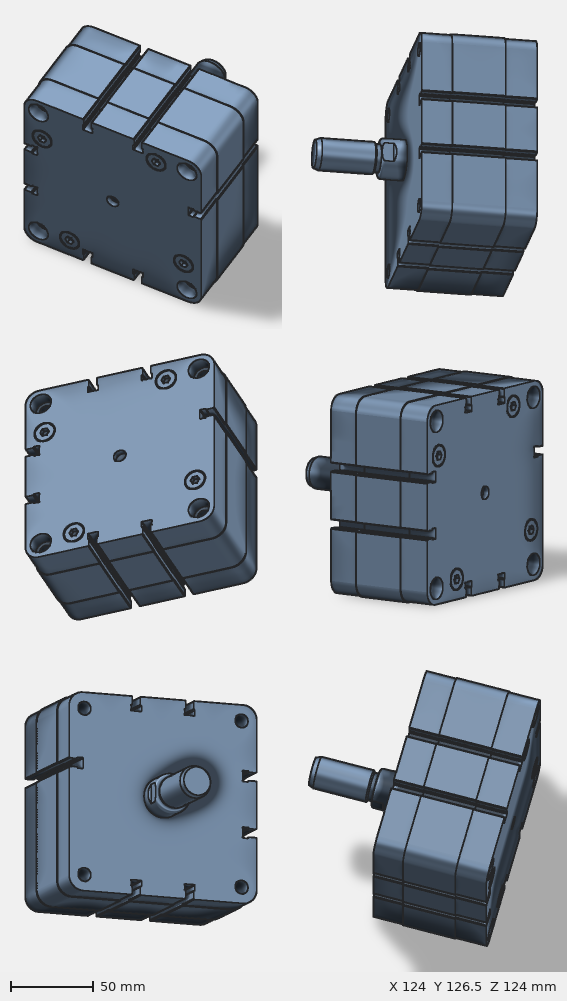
import cadquery as cq
import math


barrel_width = 124.0
cap_setback = 0.5
corner_radius = 9.5
base_cap_length = 19.5
barrel_length = 33.0
rod_cap_length = 18.75
housing_length = base_cap_length + barrel_length + rod_cap_length

slot_offset = 17.5
slot_mouth_width = 5.2
slot_inner_width = 6.8
slot_depth = 9.2
slot_neck_depth = 5.0
slot_shoulder_drop = 0.8
slot_lip = 0.5
slot_floor_chamfer = 0.4

mount_offset = 51.5
mount_bore_diameter = 8.38
mount_counterbore_diameter = 13.5
mount_counterbore_depth = 9.0

screw_x = 30.0
screw_z = 49.0
screw_recess_diameter = 13.5
screw_head_diameter = 12.5
screw_gap_depth = 1.0
socket_across_flats = 5.0
socket_depth = 3.0

centre_hole_diameter = 8.0
centre_hole_depth = 4.0

rod_diameter = 25.0
rod_length = 15.25
rod_end_radius = 2.0
flat_across = 22.0
flat_length = 7.2
undercut_diameter = 17.5
undercut_end = 18.05
thread_diameter = 20.0
thread_lead_in = 1.0
thread_tip_chamfer = 3.2
thread_tip_diameter = 17.5
rod_reach = 55.25


def plane_at(y):
    """XZ plane at Y = y; local x is X, local y is Z, negative extrusions run to +Y."""
    return cq.Workplane("XZ", origin=(0, y, 0))


def slot_cutter(half_width, side_angle, offset, start, length):
    """Slot in the +Z side at X = offset, turned about Y onto the side wanted."""
    mouth = slot_mouth_width / 2
    inner = slot_inner_width / 2
    shoulder = half_width - slot_neck_depth
    floor = half_width - slot_depth
    right_half = [
        (mouth + slot_lip, half_width),
        (mouth, half_width - slot_lip),
        (mouth, shoulder),
        (inner, shoulder - slot_shoulder_drop),
        (inner, floor + slot_floor_chamfer),
        (inner - slot_floor_chamfer, floor),
    ]
    left_half = [(-x, z) for x, z in reversed(right_half)]
    outline = [(offset + x, z) for x, z in right_half + left_half]
    cutter = plane_at(start).polyline(outline).close().extrude(-length)
    return cutter.rotate((0, 0, 0), (0, 1, 0), side_angle)


def housing_section(start, length, setback):
    """One slotted length of the housing, its sides set back from the barrel sides."""
    half_width = barrel_width / 2 - setback
    section = (
        plane_at(start)
        .rect(2 * half_width, 2 * half_width)
        .extrude(-length)
        .edges("|Y")
        .fillet(corner_radius - setback)
    )
    slots_by_side = {
        0: (-slot_offset, slot_offset),
        90: (-slot_offset,),
        180: (-slot_offset, slot_offset),
        270: (-slot_offset, slot_offset),
    }
    for side_angle, offsets in slots_by_side.items():
        for offset in offsets:
            section = section.cut(slot_cutter(half_width, side_angle, offset, start, length))
    return section


def make_housing():
    base_cap = housing_section(0, base_cap_length, cap_setback)
    barrel = housing_section(base_cap_length, barrel_length, 0)
    rod_cap = housing_section(base_cap_length + barrel_length, rod_cap_length, cap_setback)
    return base_cap.union(barrel).union(rod_cap)


def mounting_holes():
    corners = plane_at(0).rect(2 * mount_offset, 2 * mount_offset, forConstruction=True).vertices()
    bores = corners.circle(mount_bore_diameter / 2).extrude(-housing_length)
    counterbores = corners.circle(mount_counterbore_diameter / 2).extrude(-mount_counterbore_depth)
    return bores.union(counterbores)


def screw_recesses():
    centres = [
        (screw_x, screw_z),
        (-screw_z, screw_x),
        (-screw_x, -screw_z),
        (screw_z, -screw_x),
    ]
    places = plane_at(0).pushPoints(centres)
    gaps = (
        places.circle(screw_recess_diameter / 2)
        .circle(screw_head_diameter / 2)
        .extrude(-screw_gap_depth)
    )
    socket_across_corners = socket_across_flats / math.cos(math.pi / 6)
    sockets = places.polygon(6, socket_across_corners).extrude(-socket_depth)
    return gaps.union(sockets)


def centre_hole():
    return plane_at(0).circle(centre_hole_diameter / 2).extrude(-centre_hole_depth)


def wrench_flat(direction):
    """Material removed for one flat; its lower end runs out at 45 degrees."""
    flat = direction * flat_across / 2
    runout = rod_diameter / 2 - flat_across / 2
    outer = direction * rod_diameter / 2
    shoulder = housing_length + rod_length
    flat_start = shoulder - flat_length
    return (
        cq.Workplane("XY")
        .moveTo(flat, shoulder)
        .lineTo(flat, flat_start)
        .lineTo(outer, flat_start - runout)
        .lineTo(outer, shoulder)
        .close()
        .extrude(rod_diameter / 2, both=True)
    )


def make_rod():
    rod_stem = (
        plane_at(housing_length)
        .circle(rod_diameter / 2)
        .extrude(-rod_length)
        .faces(">Y")
        .edges()
        .fillet(rod_end_radius)
    )
    thread_profile = [
        (0, rod_length),
        (undercut_diameter / 2, rod_length),
        (undercut_diameter / 2, undercut_end),
        (thread_diameter / 2, undercut_end + thread_lead_in),
        (thread_diameter / 2, rod_reach - thread_tip_chamfer),
        (thread_tip_diameter / 2, rod_reach),
        (0, rod_reach),
    ]
    thread = (
        cq.Workplane("XY", origin=(0, housing_length, 0))
        .polyline(thread_profile)
        .close()
        .revolve(360, (0, 0, 0), (0, 1, 0))
    )
    return rod_stem.cut(wrench_flat(1)).cut(wrench_flat(-1)).union(thread)


housing = make_housing().cut(mounting_holes()).cut(screw_recesses()).cut(centre_hole())
result = housing.union(make_rod())